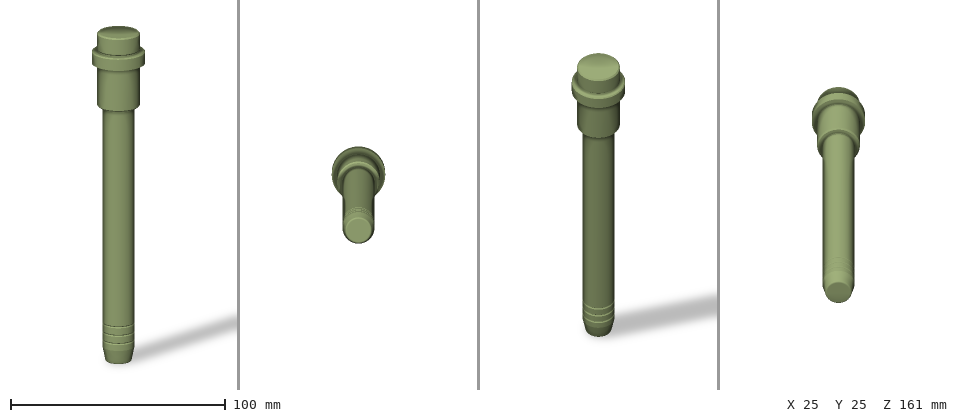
import cadquery as cq

length = 161.0
flange_diameter = 25.0
head_diameter = 20.0
shaft_diameter = 15.0
tip_diameter = 12.0

flange_top = 152.0
flange_thickness = 6.0
flange_bottom = flange_top - flange_thickness
head_bottom = 125.0
taper_height = 7.1

head_chamfer = 0.6
flange_chamfer = 0.5
tip_fillet = 0.8

groove_width = 1.0
groove_depth = 0.5
ring_heights = (10.5, 14.5, 18.7)


def cylinder(diameter, bottom, top):
    """Cylinder on the Z axis between two heights."""
    return cq.Workplane("XY").workplane(offset=bottom).circle(diameter / 2).extrude(top - bottom)


def groove(diameter, middle):
    """Ring that cuts a V groove, centred at the given height, in a cylinder of the given diameter."""
    radius = diameter / 2
    section = [
        (radius, middle - groove_width / 2),
        (radius, middle + groove_width / 2),
        (radius - groove_depth, middle),
    ]
    return cq.Workplane("XZ").polyline(section).close().revolve(360, (0, 0), (0, 1))


tip = (
    cq.Workplane("XY")
    .circle(tip_diameter / 2)
    .workplane(offset=taper_height)
    .circle(shaft_diameter / 2)
    .loft()
    .faces("<Z")
    .edges()
    .fillet(tip_fillet)
)

shaft = cylinder(shaft_diameter, taper_height, head_bottom)
for ring_height in ring_heights:
    shaft = shaft.cut(groove(shaft_diameter, ring_height))
shaft = shaft.cut(groove(shaft_diameter, head_bottom - groove_width / 2))

head = cylinder(head_diameter, head_bottom, length).faces("<Z or >Z").edges().chamfer(head_chamfer)
for relief_height in (flange_top + groove_width / 2, flange_bottom - groove_width / 2):
    head = head.cut(groove(head_diameter, relief_height))

flange = cylinder(flange_diameter, flange_bottom, flange_top).faces(">Z").edges().chamfer(flange_chamfer)

result = tip.union(shaft).union(head).union(flange)